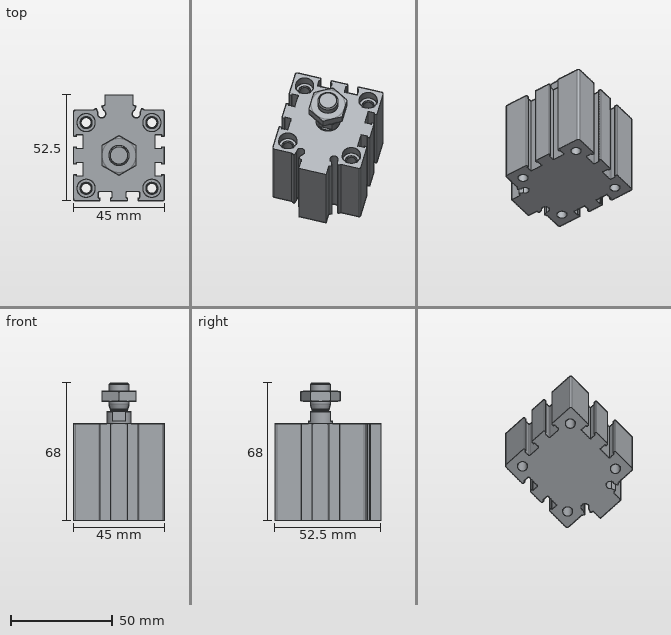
import cadquery as cq
import math


housing_width = 45.0
housing_height = 48.0
housing_corner_radius = 1.0
half_width = housing_width / 2

pad_width = 14.0
pad_reach = 30.0
ridge_radius = 25.85

keyhole_angle = 22.5
keyhole_radius = 22.3
keyhole_diameter = 3.9
keyhole_neck_width = 2.9

slot_offset = 6.85
slot_mouth_width = 5.2
slot_pocket_width = 6.6
slot_depth = 4.6
slot_lip_thickness = 1.4
slot_lip_radius = 0.4
front_pocket_corner_radius = 0.4

mount_pitch = 32.5
mount_bore_diameter = 4.92
mount_chamfer_diameter = 6.0
counterbore_diameter = 9.0
counterbore_depth = 5.5

rod_length = 20.0
shoulder_diameter = 12.0
shoulder_length = 6.0
shoulder_chamfer = 0.25
flat_width = 10.0
flat_base = 1.2
thread_diameter = 10.0
thread_tip_diameter = 8.57
groove_diameter = 8.2
groove_foot_height = 0.4
groove_top = 6.85
runout_start = 7.1
runout_start_diameter = 8.65
runout_end = 9.6
runout_bulge = 0.08

nut_width = 17.0
nut_thickness = 5.0
nut_base = 11.0
nut_face_diameter = 16.8
nut_chamfer_angle = 12.0


def t_slot(pocket_corner_radius):
    """Slot cutter that opens at Y = 0 and runs into +Y, over the full housing height."""
    half_mouth = slot_mouth_width / 2
    half_flare = half_mouth + slot_lip_radius
    arc_inset = slot_lip_radius * (1 - math.sqrt(0.5))
    mouth = (
        cq.Workplane("XY")
        .moveTo(-half_flare, 0)
        .threePointArc((-half_mouth - arc_inset, arc_inset), (-half_mouth, slot_lip_radius))
        .lineTo(-half_mouth, slot_depth)
        .lineTo(half_mouth, slot_depth)
        .lineTo(half_mouth, slot_lip_radius)
        .threePointArc((half_mouth + arc_inset, arc_inset), (half_flare, 0))
        .close()
        .extrude(housing_height)
    )
    pocket_depth = slot_depth - slot_lip_thickness
    pocket = (
        cq.Workplane("XY")
        .center(0, slot_lip_thickness + pocket_depth / 2)
        .rect(slot_pocket_width, pocket_depth)
        .extrude(housing_height)
    )
    if pocket_corner_radius > 0:
        pocket = pocket.edges("|Z").fillet(pocket_corner_radius)
    return mouth.union(pocket)


def keyhole_groove(side):
    """Radial groove cutter; side is -1 for the -X groove and +1 for the +X groove."""
    neck_length = pad_reach - keyhole_radius
    groove = (
        cq.Workplane("XY")
        .center(0, keyhole_radius + neck_length / 2)
        .rect(keyhole_neck_width, neck_length)
        .extrude(housing_height)
    )
    bottom = cq.Workplane("XY").center(0, keyhole_radius).circle(keyhole_diameter / 2).extrude(housing_height)
    return groove.union(bottom).rotate((0, 0, 0), (0, 0, 1), -side * keyhole_angle)


def mounting_hole():
    """Counterbored and countersunk through-hole cutter on the Z axis."""
    bore_radius = mount_bore_diameter / 2
    chamfer_radius = mount_chamfer_diameter / 2
    counterbore_radius = counterbore_diameter / 2
    floor = housing_height - counterbore_depth
    return (
        cq.Workplane("XZ")
        .polyline([
            (0, 0),
            (bore_radius, 0),
            (bore_radius, floor - (chamfer_radius - bore_radius)),
            (chamfer_radius, floor),
            (counterbore_radius, floor),
            (counterbore_radius, housing_height),
            (0, housing_height),
        ])
        .close()
        .revolve(360, (0, 0), (0, 1))
    )


def make_housing():
    body = (
        cq.Workplane("XY")
        .rect(housing_width, housing_width)
        .extrude(housing_height)
        .edges("|Z").fillet(housing_corner_radius)
    )

    ridge_half_chord = math.sqrt(ridge_radius**2 - half_width**2)
    ridge = (
        cq.Workplane("XY")
        .moveTo(-ridge_half_chord, half_width)
        .threePointArc((0, ridge_radius), (ridge_half_chord, half_width))
        .close()
        .extrude(housing_height)
    )
    body = body.union(ridge)
    pad = cq.Workplane("XY").center(0, pad_reach / 2).rect(pad_width, pad_reach).extrude(housing_height)
    body = body.union(pad)

    for side in (-1, 1):
        body = body.cut(keyhole_groove(side))

    for turn, corner_radius in ((0, front_pocket_corner_radius), (90, 0), (-90, 0)):
        for offset in (-slot_offset, slot_offset):
            slot = t_slot(corner_radius).translate((offset, -half_width, 0))
            body = body.cut(slot.rotate((0, 0, 0), (0, 0, 1), turn))

    for x in (-mount_pitch / 2, mount_pitch / 2):
        for y in (-mount_pitch / 2, mount_pitch / 2):
            body = body.cut(mounting_hole().translate((x, y, 0)))
    return body


def make_rod():
    shoulder_radius = shoulder_diameter / 2
    groove_radius = groove_diameter / 2
    thread_radius = thread_diameter / 2
    tip_radius = thread_tip_diameter / 2
    runout_radius = runout_start_diameter / 2
    runout_middle = (
        (runout_radius + thread_radius) / 2 + runout_bulge,
        (runout_start + runout_end) / 2,
    )
    rod = (
        cq.Workplane("XZ")
        .moveTo(0, 0)
        .lineTo(shoulder_radius, 0)
        .lineTo(shoulder_radius, shoulder_length - shoulder_chamfer)
        .lineTo(shoulder_radius - shoulder_chamfer, shoulder_length)
        .lineTo(tip_radius, shoulder_length)
        .lineTo(groove_radius, shoulder_length + groove_foot_height)
        .lineTo(groove_radius, groove_top)
        .lineTo(runout_radius, runout_start)
        .threePointArc(runout_middle, (thread_radius, runout_end))
        .lineTo(thread_radius, rod_length - (thread_radius - tip_radius))
        .lineTo(tip_radius, rod_length)
        .lineTo(0, rod_length)
        .close()
        .revolve(360, (0, 0), (0, 1))
    )

    flat_height = shoulder_length - flat_base
    flat_cut_depth = shoulder_radius - flat_width / 2
    for side in (-1, 1):
        flat = (
            cq.Workplane("XY", origin=(0, side * (flat_width + flat_cut_depth) / 2, flat_base))
            .rect(shoulder_diameter, flat_cut_depth)
            .extrude(flat_height)
        )
        rod = rod.cut(flat)
    return rod.translate((0, 0, housing_height))


def make_nut():
    corner_diameter = nut_width / math.cos(math.radians(30))
    hexagon = (
        cq.Workplane("XY")
        .polygon(6, corner_diameter)
        .extrude(nut_thickness)
        .rotate((0, 0, 0), (0, 0, 1), 30)
    )

    corner_radius = corner_diameter / 2
    face_radius = nut_face_diameter / 2
    bevel_drop = (corner_radius - face_radius) * math.tan(math.radians(nut_chamfer_angle))
    blank = (
        cq.Workplane("XZ")
        .polyline([
            (0, 0),
            (face_radius, 0),
            (corner_radius, bevel_drop),
            (corner_radius, nut_thickness - bevel_drop),
            (face_radius, nut_thickness),
            (0, nut_thickness),
        ])
        .close()
        .revolve(360, (0, 0), (0, 1))
    )
    bore = cq.Workplane("XY").circle(thread_diameter / 2).extrude(nut_thickness)
    return hexagon.intersect(blank).cut(bore).translate((0, 0, housing_height + nut_base))


housing = make_housing()
rod = make_rod()
nut = make_nut()

result = cq.Compound.makeCompound([housing.solids().val(), rod.solids().val(), nut.solids().val()])